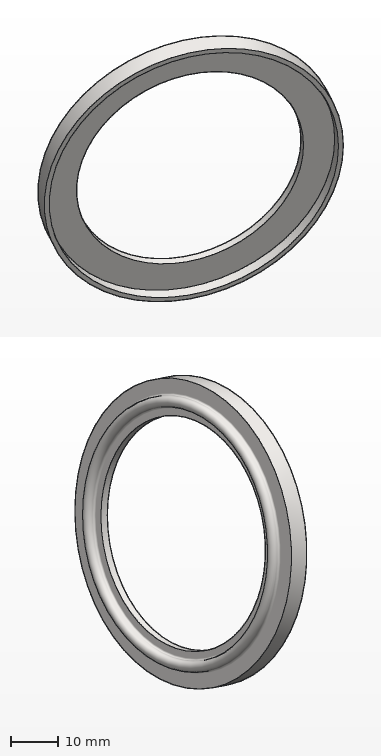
import cadquery as cq
import math

outer_diameter = 66.2
bore_diameter = 50.2
overall_length = 6.4

recess_diameter = 64
web_thickness = 1.9

bead_outer_diameter = 58.9
bead_inner_diameter = 54.1
bead_height = 1.9
root_fillet = 0.4

outer_radius = outer_diameter / 2
bore_radius = bore_diameter / 2
recess_radius = recess_diameter / 2
bead_outer_radius = bead_outer_diameter / 2
bead_inner_radius = bead_inner_diameter / 2
bead_middle_radius = (bead_outer_radius + bead_inner_radius) / 2
bead_tip_radius = (bead_outer_radius - bead_inner_radius) / 2

face_x = 0
web_back_x = face_x + web_thickness
lip_back_x = face_x + overall_length - bead_height
bead_tip_x = face_x - bead_height
bead_round_start_x = bead_tip_x + bead_tip_radius
root_center_x = face_x - root_fillet


def root_arc_middle(wall_radius, outward):
    """Midpoint of the quarter arc blending a bead wall into the web.

    outward is +1 for the outer wall and -1 for the inner wall.
    """
    leg = root_fillet * math.sqrt(0.5)
    return (root_center_x + leg, wall_radius + outward * (root_fillet - leg))


def ring_section():
    """Half section of the ring as (X, radius): bead, lip, recess and bore."""
    section = cq.Workplane("XY").moveTo(face_x, bore_radius)

    section = (
        section.lineTo(face_x, bead_inner_radius - root_fillet)
        .threePointArc(root_arc_middle(bead_inner_radius, -1), (root_center_x, bead_inner_radius))
        .lineTo(bead_round_start_x, bead_inner_radius)
        .threePointArc((bead_tip_x, bead_middle_radius), (bead_round_start_x, bead_outer_radius))
        .lineTo(root_center_x, bead_outer_radius)
        .threePointArc(root_arc_middle(bead_outer_radius, 1), (face_x, bead_outer_radius + root_fillet))
    )

    return (
        section.lineTo(face_x, outer_radius)
        .lineTo(lip_back_x, outer_radius)
        .lineTo(lip_back_x, recess_radius)
        .lineTo(web_back_x, recess_radius)
        .lineTo(web_back_x, bore_radius)
        .close()
    )


result = ring_section().revolve(360, (0, 0, 0), (1, 0, 0))